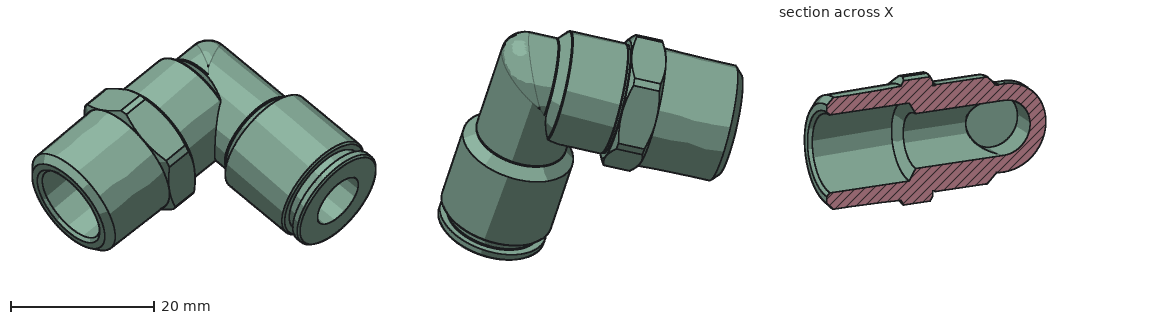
import cadquery as cq
import math

elbow_radius = 6.53
passage_radius = 4.0

corner_rounding = 0.47
corner_slices = 25
corner_last_angle = 88

neck_end = 10.08
neck_relief = 0.2
neck_relief_depth = 0.1
branch_shoulder = 11.45
branch_radius = 8.02
branch_end = 23.05
branch_chamfer = 0.3
collar_radius = 6.85
collar_end = 24.4
groove_radius = 6.7
flange_start = 24.65
flange_radius = 7.75
branch_length = 25.8
flange_chamfer = 0.3

stem_length = 27.48
stem_neck = 1.1
stem_shoulder = 2.5
stem_shoulder_break = 0.18
stem_radius = 7.9
stem_end = 10.72
stem_chamfer = 0.15
hex_start = 11.0
hex_end = 15.98
thread_major_radius = 8.45
thread_tip_radius = 8.27
thread_chamfer = 1.03

hex_across_flats = 17.0
hex_corner_radius = 9.5
hex_angle = -22.3
hex_chamfer_radial = 1.03
hex_chamfer_length = 0.6

counterbore_radius = 5.7
counterbore_chamfer = 0.5
counterbore_depth = 12.78
counterbore_cone_end = 13.77


def turned(profile):
    """Revolve (distance, radius) points about X, closing the profile along the axis."""
    points = [(profile[0][0], 0), *profile, (profile[-1][0], 0)]
    return cq.Workplane("XY").polyline(points).close().revolve(360, (0, 0, 0), (1, 0, 0))


def along_stem(body):
    """Turn a body built along +X so that it runs along -Y."""
    return body.rotate((0, 0, 0), (0, 0, 1), -90)


def branch():
    return turned([
        (0, elbow_radius),
        (neck_end - neck_relief, elbow_radius),
        (neck_end - neck_relief, elbow_radius - neck_relief_depth),
        (neck_end, elbow_radius - neck_relief_depth),
        (branch_shoulder, branch_radius),
        (branch_end - branch_chamfer, branch_radius),
        (branch_end, branch_radius - branch_chamfer),
        (branch_end, collar_radius),
        (collar_end, collar_radius),
        (collar_end, groove_radius),
        (flange_start, groove_radius),
        (flange_start, flange_radius),
        (branch_length - flange_chamfer, flange_radius),
        (branch_length, flange_radius - flange_chamfer),
    ])


def stem():
    return along_stem(turned([
        (0, elbow_radius),
        (stem_neck - neck_relief, elbow_radius),
        (stem_neck - neck_relief, elbow_radius - neck_relief_depth),
        (stem_neck, elbow_radius - neck_relief_depth),
        (stem_shoulder, stem_radius - stem_shoulder_break / 2),
        (stem_shoulder + stem_shoulder_break, stem_radius),
        (stem_end - stem_chamfer, stem_radius),
        (stem_end, stem_radius - stem_chamfer),
        (hex_start, stem_radius - stem_chamfer),
        (hex_end, thread_major_radius),
        (stem_length - thread_chamfer, thread_tip_radius),
        (stem_length, thread_tip_radius - thread_chamfer),
    ]))


def wrench_hexagon():
    corner_diameter = hex_across_flats / math.cos(math.pi / 6)
    prism = (
        cq.Workplane("YZ", origin=(hex_start, 0, 0))
        .polygon(6, corner_diameter)
        .extrude(hex_end - hex_start)
        .rotate((0, 0, 0), (1, 0, 0), hex_angle)
    )
    envelope = turned([
        (hex_start, hex_corner_radius - hex_chamfer_radial),
        (hex_start + hex_chamfer_length, hex_corner_radius),
        (hex_end - hex_chamfer_length, hex_corner_radius),
        (hex_end, hex_corner_radius - hex_chamfer_radial),
    ])
    return along_stem(prism.intersect(envelope))


def passages():
    branch_bore = turned([(-passage_radius, passage_radius), (branch_length, passage_radius)])
    stem_bore = along_stem(turned([
        (0, passage_radius),
        (stem_length - counterbore_cone_end, passage_radius),
        (stem_length - counterbore_depth, counterbore_radius),
        (stem_length - counterbore_chamfer, counterbore_radius),
        (stem_length, counterbore_radius + counterbore_chamfer),
    ]))
    return branch_bore.union(stem_bore)


def corner_slice(angle):
    """Sector of the rounded corner, shrunk towards the axis at this angle above mid-height."""
    half_width = elbow_radius * math.cos(angle)
    tangent = half_width * (1 - corner_rounding)
    middle = tangent + half_width * corner_rounding * math.sqrt(0.5)
    return (
        cq.Workplane("XY", origin=(0, 0, elbow_radius * math.sin(angle)))
        .lineTo(-tangent, half_width)
        .threePointArc((-middle, middle), (-half_width, tangent))
        .close()
        .val()
    )


def rounded_corner():
    """Mitred outer corner of the elbow, its edge rounded in proportion to the local half width."""
    last_angle = math.radians(corner_last_angle)
    angles = [last_angle * (2 * i / (corner_slices - 1) - 1) for i in range(corner_slices)]
    rounding = cq.Workplane(cq.Solid.makeLoft([corner_slice(angle) for angle in angles]))
    tangent = elbow_radius * (1 - corner_rounding)
    wedge = (
        cq.Workplane("XY")
        .polyline([(0, 0), (0, elbow_radius), (-tangent, elbow_radius)])
        .close()
        .extrude(elbow_radius, both=True)
    )
    branch_side = turned([(-elbow_radius, elbow_radius), (0, elbow_radius)]).intersect(wedge)
    stem_side = branch_side.mirror((1, 1, 0))
    return rounding.union(branch_side).union(stem_side)


result = branch().union(stem()).union(rounded_corner()).union(wrench_hexagon()).cut(passages())